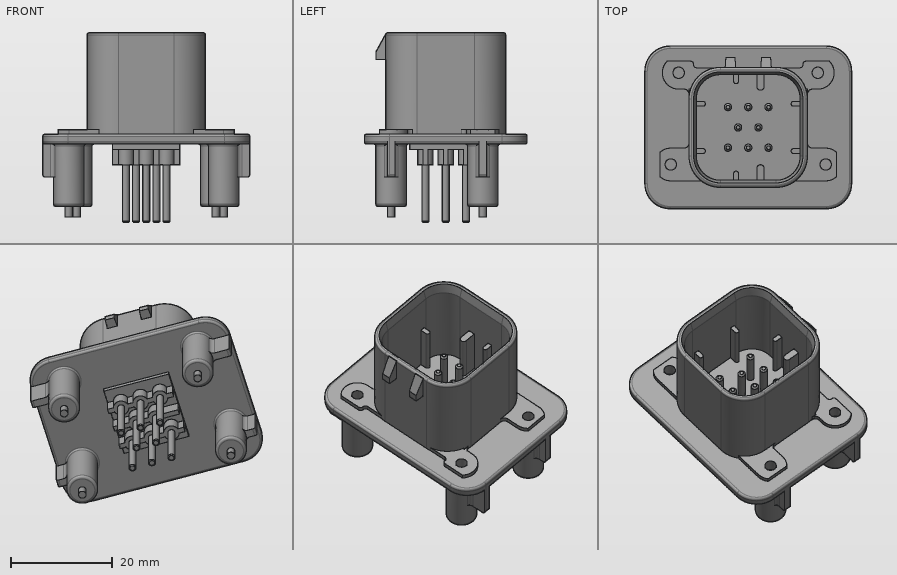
import cadquery as cq
import math


FLANGE_X = 40.8
FLANGE_Y = 32.1
FLANGE_T = 2.0
FLANGE_CORNER_R = 5.0
FLANGE_EDGE_R = 0.5

SHROUD_X = 23.35
SHROUD_Y = 23.65
SHROUD_H = 20.0
SHROUD_CORNER_R = 6.2
SHROUD_WALL = 1.43
RIM_EDGE_R = 0.5
MOUTH_WALL = 0.9
MOUTH_DEPTH = 2.0

RIB_TOP = 10.0
NARROW_RIB_W = 0.95
WIDE_RIB_W = 1.4
SIDE_RIB_Y = 4.65
SIDE_RIB_TIP_X = 8.45
KEY_RIB_X = 2.4
NARROW_RIB_TIP_Y = 8.6
WIDE_RIB_TIP_Y = 7.35

TOOTH_X = 3.5
TOOTH_BASE_W = 2.1
TOOTH_TIP_W = 1.8
TOOTH_REACH = 1.9
TOOTH_BOTTOM = 14.65
TOOTH_SHOULDER = 16.25
TOOTH_TOP = 19.75

BACK_POST_X, BACK_POST_Y = 13.7, 10.77
FRONT_POST_X, FRONT_POST_Y = 15.25, -7.3
POST_D = 6.08
POST_R = POST_D / 2
POST_BOTTOM = -14.32
POST_EDGE_R = 0.57
POST_ROOT_R = 0.33
PEG_D = 1.5
PEG_BOTTOM = -16.35
HOLE_D = 2.25

PAD_H = 0.85
PAD_R = 3.22
BACK_PAD_FLAT = 2.3
BACK_PAD_STEP_X = 10.77
BACK_PAD_STEP_R = 0.6
BACK_PAD_INNER_Y = 11.75
FRONT_PAD_FLAT = 2.12
PAD_BLEND_R = 1.0
PAD_ROOT_X = SHROUD_X / 4

FIN_W = 1.5
FIN_BOTTOM = -8.5
FIN_BLEND_R = 1.0
FIN_EDGE_R = 0.5

PIN_PITCH = 4.0
PIN_D = 1.43
PIN_TOP = 7.35
PIN_BOTTOM = -17.4
PIN_TIP_CHAMFER = 0.345
PIN_END_CHAMFER = 0.2
BLOCK_X = 13.3
BLOCK_Y = 14.2
BLOCK_BOTTOM = -3.05
SLEEVE_D = 3.05
SLEEVE_BOTTOM = -6.08
RAIL_W = 0.98

FLANGE_BOTTOM = -FLANGE_T
FLANGE_MIDDLE = FLANGE_BOTTOM / 2
ARC_BOW = 1 - math.sqrt(0.5)
POSTS = [
    (side * x, y)
    for x, y in ((BACK_POST_X, BACK_POST_Y), (FRONT_POST_X, FRONT_POST_Y))
    for side in (-1, 1)
]
PIN_ROWS = {
    -PIN_PITCH: (-PIN_PITCH, 0, PIN_PITCH),
    0: (-PIN_PITCH / 2, PIN_PITCH / 2),
    PIN_PITCH: (-PIN_PITCH, 0, PIN_PITCH),
}
PINS = [(x, y) for y, row in PIN_ROWS.items() for x in row]


def rounded_block(size_x, size_y, corner_r, bottom, top):
    """Upright block with rounded vertical edges, centred on the Z axis."""
    block = cq.Workplane("XY", origin=(0, 0, bottom)).rect(size_x, size_y).extrude(top - bottom)
    return block.edges("|Z").fillet(corner_r)


def cylinders(points, radius, bottom, top):
    return cq.Workplane("XY", origin=(0, 0, bottom)).pushPoints(points).circle(radius).extrude(top - bottom)


def box_between(x0, x1, y0, y1, z0, z1):
    return cq.Workplane("XY").box(x1 - x0, y1 - y0, z1 - z0, centered=False).translate((x0, y0, z0))


def both_sides(solid):
    """The solid together with its mirror image across X = 0."""
    return solid.union(solid.mirror("YZ"))


def make_flange():
    flange = rounded_block(FLANGE_X, FLANGE_Y, FLANGE_CORNER_R, FLANGE_BOTTOM, 0)
    return flange.faces("<Z or >Z").edges().fillet(FLANGE_EDGE_R)


def make_shroud():
    shroud = rounded_block(SHROUD_X, SHROUD_Y, SHROUD_CORNER_R, FLANGE_MIDDLE, SHROUD_H)
    return shroud.faces(">Z").edges().fillet(RIM_EDGE_R)


def make_cavity():
    """Straight cavity down to the flange face, with a flared mouth."""
    cavity = rounded_block(
        SHROUD_X - 2 * SHROUD_WALL,
        SHROUD_Y - 2 * SHROUD_WALL,
        SHROUD_CORNER_R - SHROUD_WALL,
        0,
        SHROUD_H,
    )
    flare_angle = math.degrees(math.atan((SHROUD_WALL - MOUTH_WALL) / MOUTH_DEPTH))
    mouth_outline = cq.Sketch().rect(SHROUD_X - 2 * MOUTH_WALL, SHROUD_Y - 2 * MOUTH_WALL)
    mouth_outline = mouth_outline.vertices().fillet(SHROUD_CORNER_R - MOUTH_WALL)
    mouth = cq.Workplane("XY", origin=(0, 0, SHROUD_H)).placeSketch(mouth_outline)
    return cavity.union(mouth.extrude(-MOUTH_DEPTH, taper=flare_angle))


def rib_along_x(tip, wall, y, width):
    """Rib from an X wall, ending in a full round at X = tip."""
    toward_wall = math.copysign(1, tip)
    round_x = tip + toward_wall * width / 2
    outline = (
        cq.Workplane("XY")
        .moveTo(wall, y - width / 2)
        .lineTo(round_x, y - width / 2)
        .threePointArc((tip, y), (round_x, y + width / 2))
        .lineTo(wall, y + width / 2)
        .close()
    )
    return outline.extrude(RIB_TOP)


def make_key_ribs():
    wall_x = (SHROUD_X - SHROUD_WALL) / 2
    wall_y = (SHROUD_Y - SHROUD_WALL) / 2
    ribs = cq.Workplane("XY")
    for side in (-1, 1):
        for y in (-SIDE_RIB_Y, SIDE_RIB_Y):
            ribs = ribs.add(rib_along_x(side * SIDE_RIB_TIP_X, side * wall_x, y, NARROW_RIB_W))
        for tip, x, width in (
            (NARROW_RIB_TIP_Y, -KEY_RIB_X, NARROW_RIB_W),
            (WIDE_RIB_TIP_Y, KEY_RIB_X, WIDE_RIB_W),
        ):
            rib = rib_along_x(side * tip, side * wall_y, -x, width)
            ribs = ribs.add(rib.rotate((0, 0, 0), (0, 0, 1), 90))
    return ribs.combine()


def make_latch_teeth():
    """Two wedge teeth, narrower at the tip than at the wall."""
    root_y = (SHROUD_Y - SHROUD_WALL) / 2
    wall_y = SHROUD_Y / 2
    tip_y = wall_y + TOOTH_REACH
    profile = [
        (root_y, TOOTH_BOTTOM),
        (tip_y, TOOTH_BOTTOM),
        (tip_y, TOOTH_SHOULDER),
        (wall_y, TOOTH_TOP),
        (root_y, TOOTH_TOP),
    ]
    plan = [
        (TOOTH_X - TOOTH_BASE_W / 2, root_y),
        (TOOTH_X - TOOTH_BASE_W / 2, wall_y),
        (TOOTH_X - TOOTH_TIP_W / 2, tip_y),
        (TOOTH_X + TOOTH_TIP_W / 2, tip_y),
        (TOOTH_X + TOOTH_BASE_W / 2, wall_y),
        (TOOTH_X + TOOTH_BASE_W / 2, root_y),
    ]
    side_shape = cq.Workplane("YZ").polyline(profile).close().extrude(SHROUD_X / 2)
    plan_shape = cq.Workplane("XY").polyline(plan).close().extrude(SHROUD_H)
    return both_sides(side_shape.intersect(plan_shape))


def pad_blend(corner_y):
    """Concave corner fillet between the shroud's +X wall and a pad edge facing +Y at corner_y."""
    wall_x = SHROUD_X / 2
    reach = PAD_BLEND_R * ARC_BOW
    outline = (
        cq.Workplane("XY")
        .moveTo(wall_x, corner_y)
        .lineTo(wall_x + PAD_BLEND_R, corner_y)
        .threePointArc((wall_x + reach, corner_y + reach), (wall_x, corner_y + PAD_BLEND_R))
        .close()
    )
    return outline.extrude(PAD_H)


def make_back_pads():
    """Round pad cut flat on its +Y side, with a stepped web running to the shroud."""
    x, y = BACK_POST_X, BACK_POST_Y
    low_y = y - PAD_R
    flat_y = y + BACK_PAD_FLAT
    flat_x = x + math.sqrt(PAD_R**2 - BACK_PAD_FLAT**2)
    outline = (
        cq.Workplane("XY")
        .moveTo(PAD_ROOT_X, low_y)
        .lineTo(x, low_y)
        .threePointArc((x + PAD_R, y), (flat_x, flat_y))
        .lineTo(BACK_PAD_STEP_X, flat_y)
        .lineTo(BACK_PAD_STEP_X, BACK_PAD_INNER_Y)
        .lineTo(PAD_ROOT_X, BACK_PAD_INNER_Y)
        .close()
    )
    pad = outline.extrude(PAD_H)
    for edge_y in (BACK_PAD_INNER_Y, flat_y):
        step_corner = cq.selectors.NearestToPointSelector((BACK_PAD_STEP_X, edge_y, PAD_H / 2))
        pad = pad.edges("|Z").edges(step_corner).fillet(BACK_PAD_STEP_R)
    blend = pad_blend(-low_y).mirror("XZ")
    return both_sides(pad.union(blend))


def make_front_pads():
    """Round pad cut flat on its outer side, with a straight web running to the shroud."""
    x, y = FRONT_POST_X, FRONT_POST_Y
    disc = cylinders([(x, y)], PAD_R, 0, PAD_H)
    web = box_between(PAD_ROOT_X, x, y - PAD_R, y + PAD_R, 0, PAD_H)
    limit = box_between(0, x + FRONT_PAD_FLAT, y - PAD_R, y + PAD_R, 0, PAD_H)
    pad = disc.union(web).intersect(limit)
    return both_sides(pad.union(pad_blend(y + PAD_R)))


def make_post(x, y):
    """Post of revolution: root fillet at the flange, rounded lower edge and a locating peg."""
    top = FLANGE_MIDDLE
    root_mid = (POST_R + POST_ROOT_R * ARC_BOW, FLANGE_BOTTOM - POST_ROOT_R * ARC_BOW)
    edge_mid = (POST_R - POST_EDGE_R * ARC_BOW, POST_BOTTOM + POST_EDGE_R * ARC_BOW)
    profile = (
        cq.Workplane("XZ")
        .moveTo(0, top)
        .lineTo(POST_R + POST_ROOT_R, top)
        .lineTo(POST_R + POST_ROOT_R, FLANGE_BOTTOM)
        .threePointArc(root_mid, (POST_R, FLANGE_BOTTOM - POST_ROOT_R))
        .lineTo(POST_R, POST_BOTTOM + POST_EDGE_R)
        .threePointArc(edge_mid, (POST_R - POST_EDGE_R, POST_BOTTOM))
        .lineTo(PEG_D / 2, POST_BOTTOM)
        .lineTo(PEG_D / 2, PEG_BOTTOM)
        .lineTo(0, PEG_BOTTOM)
        .close()
    )
    return profile.revolve(360, (0, 0, 0), (0, 1, 0)).translate((x, y, 0))


def make_fin(post_x, post_y):
    """Fin from the +X side of the flange to a post, with concave blends into the post."""
    half_w = FIN_W / 2
    edge_x = FLANGE_X / 2
    blend_y = half_w + FIN_BLEND_R
    blend_x = math.sqrt((POST_R + FIN_BLEND_R) ** 2 - blend_y**2)
    touch_share = POST_R / (POST_R + FIN_BLEND_R)
    touch_x = post_x + blend_x * touch_share
    touch_y = blend_y * touch_share
    start_x = post_x + blend_x
    turn = math.atan2(blend_x, blend_y) / 2
    mid_x = start_x - FIN_BLEND_R * math.sin(turn)
    mid_y = blend_y - FIN_BLEND_R * math.cos(turn)
    outline = (
        cq.Workplane("XY", origin=(0, post_y, FIN_BOTTOM))
        .moveTo(edge_x, -half_w)
        .lineTo(start_x, -half_w)
        .threePointArc((mid_x, -mid_y), (touch_x, -touch_y))
        .lineTo(post_x, 0)
        .lineTo(touch_x, touch_y)
        .threePointArc((mid_x, mid_y), (start_x, half_w))
        .lineTo(edge_x, half_w)
        .close()
    )
    fin = outline.extrude(FLANGE_BOTTOM + FLANGE_EDGE_R - FIN_BOTTOM)
    fin = fin.faces(">X").edges("<Z").fillet(FIN_EDGE_R)
    flange_column = rounded_block(FLANGE_X, FLANGE_Y, FLANGE_CORNER_R, FIN_BOTTOM, 0)
    return fin.intersect(flange_column)


def make_pin_block():
    """Shallow block under the flange with a rail per pin row and a sleeve per pin."""
    half_x = BLOCK_X / 2
    half_y = BLOCK_Y / 2
    block = box_between(-half_x, half_x, -half_y, half_y, BLOCK_BOTTOM, FLANGE_MIDDLE)
    for row_y in PIN_ROWS:
        rail = box_between(
            -half_x, half_x, row_y - RAIL_W / 2, row_y + RAIL_W / 2, SLEEVE_BOTTOM, BLOCK_BOTTOM
        )
        block = block.union(rail)
    return block.union(cylinders(PINS, SLEEVE_D / 2, SLEEVE_BOTTOM, BLOCK_BOTTOM))


def make_pins():
    pins = cylinders(PINS, PIN_D / 2, PIN_BOTTOM, PIN_TOP)
    pins = pins.faces(">Z").edges().chamfer(PIN_TIP_CHAMFER)
    return pins.faces("<Z").edges().chamfer(PIN_END_CHAMFER)


result = make_flange().union(make_shroud())
result = result.union(make_latch_teeth()).union(make_back_pads()).union(make_front_pads())
for post_x, post_y in POSTS:
    result = result.union(make_post(post_x, post_y))
for fin_post in ((BACK_POST_X, BACK_POST_Y), (FRONT_POST_X, FRONT_POST_Y)):
    result = result.union(both_sides(make_fin(*fin_post)))
result = result.cut(make_cavity())
result = result.cut(cylinders(POSTS, HOLE_D / 2, FLANGE_BOTTOM, PAD_H))
result = result.union(make_key_ribs()).union(make_pin_block()).union(make_pins())